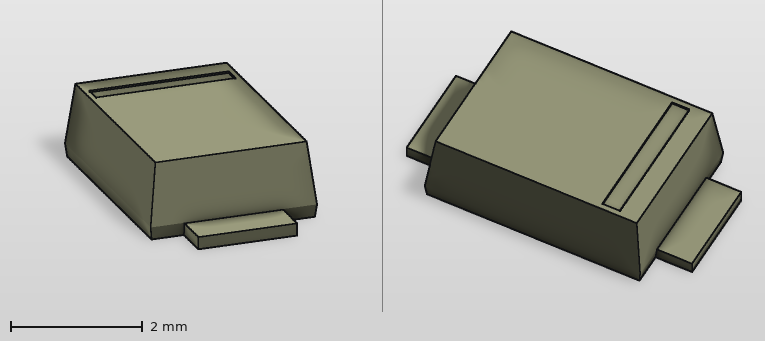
import cadquery as cq
import math

body_length = 3.7
body_width = 2.7
body_height = 1.21
parting_height = 0.21
draft_angle = 7.0

lead_span = 4.9
lead_width = 1.6
lead_thickness = 0.2

band_length = 0.3
band_width = 2.265
band_center_x = -1.235
band_depth = 0.03


def tapered_block(height):
    """Block starting at the parting-line outline and narrowing away from it."""
    inset = abs(height) * math.tan(math.radians(draft_angle))
    return (
        cq.Workplane("XY")
        .workplane(offset=parting_height)
        .rect(body_length, body_width)
        .workplane(offset=height)
        .rect(body_length - 2 * inset, body_width - 2 * inset)
        .loft(ruled=True)
    )


upper_body = tapered_block(body_height - parting_height)
lower_body = tapered_block(-parting_height)

leads = cq.Workplane("XY").box(lead_span, lead_width, lead_thickness, centered=(True, True, False))

band_recess = (
    cq.Workplane("XY")
    .workplane(offset=body_height - band_depth)
    .center(band_center_x, 0)
    .rect(band_length, band_width)
    .extrude(band_depth)
)

result = upper_body.union(lower_body).union(leads).cut(band_recess)